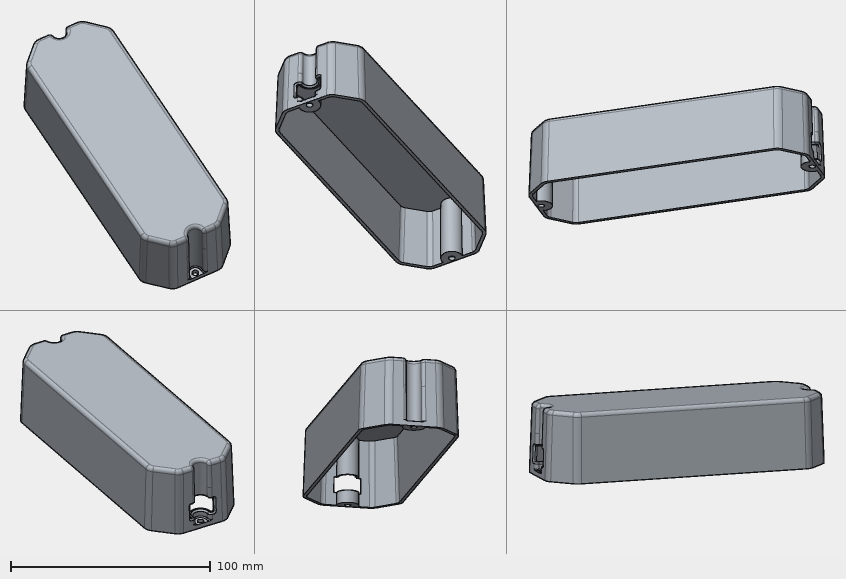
import cadquery as cq

LENGTH = 148.4
WIDTH = 51.5
HEIGHT = 36.0
CORNER_CUT = 12.0
CORNER_RADIUS = 5.6
TOP_RADIUS = 2.2
DRAFT_ANGLE = 2.0
WALL = 1.8

SCREW_INSET = 2.5
SCREW_X = LENGTH / 2 - SCREW_INSET
SCREW_HOLE_DIAMETER = 3.3
RECESS_RADIUS = 3.9
RECESS_FLOOR = 2.4
RECESS_FLOOR_BEVEL = 0.6
RECESS_LIP_RADIUS = WALL
RECESS_SLEEVE_RADIUS = RECESS_RADIUS + WALL

WINDOW_WIDTH = 14.0
WINDOW_BOTTOM = 6.5
WINDOW_TOP = 14.7
WINDOW_CORNER_RADIUS = 0.6
WINDOW_BEVEL = 0.9
WINDOW_DEPTH = 14.8

PICK = 0.1


def octagon_points():
    """Base outline with sharp corners, anticlockwise from the +X end."""
    half_length = LENGTH / 2
    half_width = WIDTH / 2
    end_y = half_width - CORNER_CUT
    side_x = half_length - CORNER_CUT
    return [
        (half_length, -end_y),
        (half_length, end_y),
        (side_x, half_width),
        (-side_x, half_width),
        (-half_length, end_y),
        (-half_length, -end_y),
        (-side_x, -half_width),
        (side_x, -half_width),
    ]


def drafted_octagon(inset):
    """Block with cut corners and leaning walls, set in from the outer skin and top by the inset."""
    outline = cq.Workplane("XY").polyline(octagon_points()).close()
    if inset > 0:
        outline = outline.offset2D(-inset, "intersection")
    block = outline.extrude(HEIGHT - inset, taper=DRAFT_ANGLE)
    upright_edges = block.edges("not(<Z or >Z)")
    return upright_edges.fillet(CORNER_RADIUS - inset)


def upright_slot(end, radius, bottom):
    """U-shaped slot around the screw axis, open towards the end and the top."""
    plan = cq.Workplane("XY", origin=(end * SCREW_X, 0, bottom))
    well = plan.circle(radius).extrude(HEIGHT)
    mouth = plan.center(end * radius / 2, 0).rect(radius, 2 * radius).extrude(HEIGHT)
    return well.union(mouth)


def cut_recess(body, end):
    """Cut one screw recess, round its mouth on the top and end faces, then bevel around its floor."""
    body = body.cut(upright_slot(end, RECESS_RADIUS, RECESS_FLOOR))
    back_x = end * (SCREW_X - RECESS_RADIUS - PICK)
    end_x = end * LENGTH / 2
    mouth_zone = cq.selectors.BoxSelector(
        (back_x, -RECESS_RADIUS - PICK, RECESS_FLOOR + PICK),
        (end_x, RECESS_RADIUS + PICK, HEIGHT + PICK),
    )
    body = body.edges(mouth_zone).edges("not |Z").fillet(RECESS_LIP_RADIUS)
    floor_zone = cq.selectors.BoxSelector(
        (back_x, -RECESS_SLEEVE_RADIUS, RECESS_FLOOR - PICK),
        (end_x, RECESS_SLEEVE_RADIUS, RECESS_FLOOR + PICK),
    )
    return body.edges(floor_zone).edges("not |Y").chamfer(RECESS_FLOOR_BEVEL)


def cut_window(body):
    """Cut the cable window into the -X end and bevel its rim on the outer skin."""
    height = WINDOW_TOP - WINDOW_BOTTOM
    opening = (
        cq.Workplane("XY")
        .box(WINDOW_DEPTH, WINDOW_WIDTH, height, centered=(False, True, False))
        .edges("|X")
        .fillet(WINDOW_CORNER_RADIUS)
        .translate((-LENGTH / 2, 0, WINDOW_BOTTOM))
    )
    rim_zone = cq.selectors.BoxSelector(
        (-LENGTH / 2, -WINDOW_WIDTH / 2 - PICK, WINDOW_BOTTOM - PICK),
        (PICK - SCREW_X + RECESS_RADIUS, WINDOW_WIDTH / 2 + PICK, WINDOW_TOP + PICK),
    )
    rim_edges = body.cut(opening).edges(rim_zone).edges("not |X")
    return rim_edges.chamfer(WINDOW_BEVEL)


def cavity():
    """Hollow open at the base, leaving a sleeve of wall around each recess."""
    hollow = drafted_octagon(WALL)
    for end in (-1, 1):
        hollow = hollow.cut(upright_slot(end, RECESS_SLEEVE_RADIUS, 0))
    return hollow


def screw_holes():
    """Holes through the floors of both recesses."""
    return (
        cq.Workplane("XY")
        .pushPoints([(-SCREW_X, 0), (SCREW_X, 0)])
        .circle(SCREW_HOLE_DIAMETER / 2)
        .extrude(RECESS_FLOOR)
    )


body = drafted_octagon(0).faces(">Z").edges().fillet(TOP_RADIUS)
for end in (-1, 1):
    body = cut_recess(body, end)
body = cut_window(body)
result = body.cut(cavity()).cut(screw_holes())